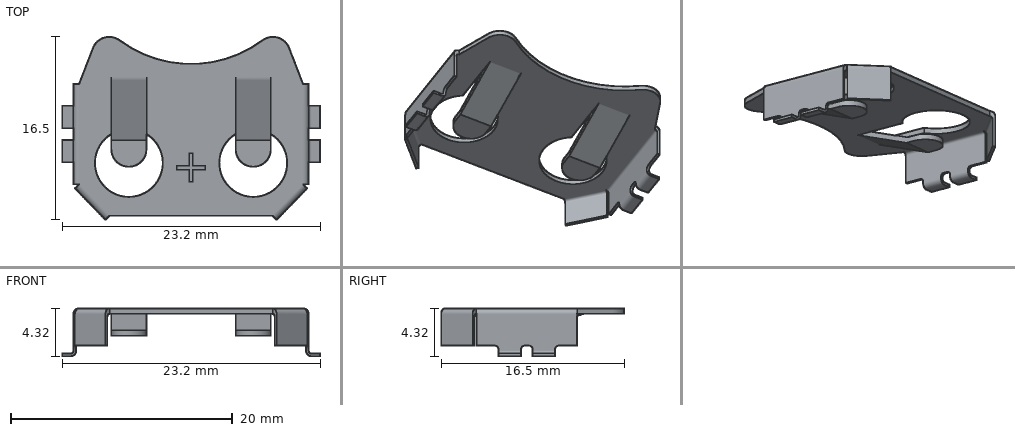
import cadquery as cq
import math

overall_width = 23.25
overall_height = 4.32
plate_thickness = 0.5
strip_thickness = 0.25
bend_radius = plate_thickness

wall_outer_x = 10.6
plate_half_width = wall_outer_x - bend_radius
front_half_width = 7.35
wall_front_y = 2.84
wall_rear_y = 11.9
wall_bottom_z = -3.37
ear_radius = 1.58
ear_center_x = 7.37
ear_top_y = 16.13
scallop_bottom_y = 13.69

foot_width = 2.05
foot_gap = 1.02
foot_root_radius = 0.33
foot_inner_radius = 0.25
foot_outer_radius = foot_inner_radius + strip_thickness

tongue_x = 5.6
tongue_width = 3.18
tongue_root_y = 12.45
tongue_bend_radius = 0.7
tongue_angle = math.radians(19.6)
tongue_knee_y = 6.83
tongue_tip_y = 4.42
hole_radius = 3.05
hole_y = 4.76

mark_y = 4.35
mark_length = 2.58
mark_width = 0.35
mark_depth = 0.33


def mirrored_pair(body):
    return body.union(body.mirror("YZ"))


def make_plate():
    ear_center_y = ear_top_y - ear_radius
    ear_rise = ear_center_y - scallop_bottom_y
    scallop_radius = (ear_center_x**2 + ear_rise**2 - ear_radius**2) / (2 * (ear_radius + ear_rise))
    scallop_center_y = scallop_bottom_y + scallop_radius
    share = ear_radius / (ear_radius + scallop_radius)
    scallop_end = (
        ear_center_x * (1 - share),
        ear_center_y + (scallop_center_y - ear_center_y) * share,
    )
    corner_dx = plate_half_width - ear_center_x
    corner_dy = wall_rear_y - ear_center_y
    tangent_direction = math.atan2(corner_dy, corner_dx) + math.acos(
        ear_radius / math.hypot(corner_dx, corner_dy)
    )
    ear_start = (
        ear_center_x + ear_radius * math.cos(tangent_direction),
        ear_center_y + ear_radius * math.sin(tangent_direction),
    )
    half = (
        cq.Workplane("XY")
        .moveTo(0, 0)
        .lineTo(front_half_width, 0)
        .lineTo(plate_half_width, wall_front_y)
        .lineTo(plate_half_width, wall_rear_y)
        .lineTo(*ear_start)
        .threePointArc((ear_center_x, ear_top_y), scallop_end)
        .radiusArc((0, scallop_bottom_y), scallop_radius)
        .close()
        .extrude(-plate_thickness)
    )
    return mirrored_pair(half)


def bend_profile(plane):
    """Quarter bend and straight wall; local x is outward from the bend line, local y is Z."""
    inner_x = bend_radius - strip_thickness
    return (
        cq.Workplane(plane)
        .moveTo(0, 0)
        .radiusArc((bend_radius, -bend_radius), bend_radius)
        .lineTo(bend_radius, wall_bottom_z)
        .lineTo(inner_x, wall_bottom_z)
        .lineTo(inner_x, -plate_thickness - inner_x)
        .radiusArc((0, -plate_thickness), -inner_x)
        .close()
    )


def make_wall():
    plane = cq.Plane(origin=(plate_half_width, wall_rear_y, 0), xDir=(1, 0, 0), normal=(0, -1, 0))
    return bend_profile(plane).extrude(wall_rear_y - wall_front_y)


def make_corner_wall():
    run_x = front_half_width - plate_half_width
    run_y = -wall_front_y
    plane = cq.Plane(
        origin=(plate_half_width, wall_front_y, 0),
        xDir=(-run_y, run_x, 0),
        normal=(run_x, run_y, 0),
    )
    return bend_profile(plane).extrude(math.hypot(run_x, run_y))


def make_feet():
    """Two outward feet under a side wall, flared at their roots."""
    wall_mid_y = (wall_front_y + wall_rear_y) / 2
    inner_x = wall_outer_x - strip_thickness
    bend_z = foot_outer_radius - overall_height
    bend_x = wall_outer_x + foot_inner_radius
    tip_x = overall_width / 2
    span = 2 * foot_width + foot_gap + 4 * foot_root_radius
    blank = (
        cq.Workplane("XZ", origin=(0, wall_mid_y, 0))
        .moveTo(inner_x, wall_bottom_z)
        .lineTo(inner_x, bend_z)
        .radiusArc((bend_x, -overall_height), -foot_outer_radius)
        .lineTo(tip_x, -overall_height)
        .lineTo(tip_x, strip_thickness - overall_height)
        .lineTo(bend_x, strip_thickness - overall_height)
        .radiusArc((wall_outer_x, bend_z), foot_inner_radius)
        .lineTo(wall_outer_x, wall_bottom_z)
        .close()
        .extrude(span / 2, both=True)
    )
    notch_pitch = foot_width + foot_gap
    for offset in (-notch_pitch, 0, notch_pitch):
        notch = (
            cq.Workplane("XY", origin=(tip_x, wall_mid_y + offset, wall_bottom_z))
            .rect(overall_width, foot_gap)
            .extrude(-overall_height)
            .edges("|X and >Z")
            .fillet(foot_root_radius)
        )
        blank = blank.cut(notch)
    return blank


def make_opening():
    slot_length = tongue_root_y - hole_y
    slot = (
        cq.Workplane("XY")
        .center(tongue_x, hole_y + slot_length / 2)
        .rect(tongue_width, slot_length)
        .extrude(-plate_thickness)
    )
    hole = cq.Workplane("XY").center(tongue_x, hole_y).circle(hole_radius).extrude(-plate_thickness)
    return slot.union(hole)


def make_tongue():
    """Tongue of plate thickness: bent down at its root, then level again with a round tip."""
    sine = math.sin(tongue_angle)
    cosine = math.cos(tongue_angle)
    under_radius = tongue_bend_radius - plate_thickness
    ramp_y = tongue_root_y - tongue_bend_radius * sine
    ramp_z = tongue_bend_radius * (cosine - 1)
    knee_z = ramp_z - (ramp_y - tongue_knee_y) * math.tan(tongue_angle)
    under_knee_y = tongue_knee_y + plate_thickness * math.tan(tongue_angle / 2)
    under_ramp = (
        tongue_root_y - under_radius * sine,
        under_radius * cosine - tongue_bend_radius,
    )
    half_width = tongue_width / 2
    strip = (
        cq.Workplane("YZ", origin=(tongue_x, 0, 0))
        .moveTo(tongue_root_y, 0)
        .radiusArc((ramp_y, ramp_z), -tongue_bend_radius)
        .lineTo(tongue_knee_y, knee_z)
        .lineTo(tongue_tip_y, knee_z)
        .lineTo(tongue_tip_y, knee_z - plate_thickness)
        .lineTo(under_knee_y, knee_z - plate_thickness)
        .lineTo(*under_ramp)
        .radiusArc((tongue_root_y, -plate_thickness), under_radius)
        .close()
        .extrude(half_width, both=True)
    )
    tip_center_y = tongue_tip_y + half_width
    outline = (
        cq.Workplane("XY", origin=(tongue_x, 0, 0))
        .moveTo(-half_width, tongue_root_y)
        .lineTo(-half_width, tip_center_y)
        .threePointArc((0, tongue_tip_y), (half_width, tip_center_y))
        .lineTo(half_width, tongue_root_y)
        .close()
        .extrude(-overall_height)
    )
    return strip.intersect(outline)


def make_plus_mark():
    mark = cq.Workplane("XY", origin=(0, mark_y, 0))
    bar_x = mark.rect(mark_length, mark_width).extrude(-mark_depth)
    bar_y = mark.rect(mark_width, mark_length).extrude(-mark_depth)
    return bar_x.union(bar_y)


plate = make_plate().cut(mirrored_pair(make_opening())).cut(make_plus_mark())
side_parts = make_wall().union(make_corner_wall()).union(make_feet()).union(make_tongue())
result = plate.union(mirrored_pair(side_parts))